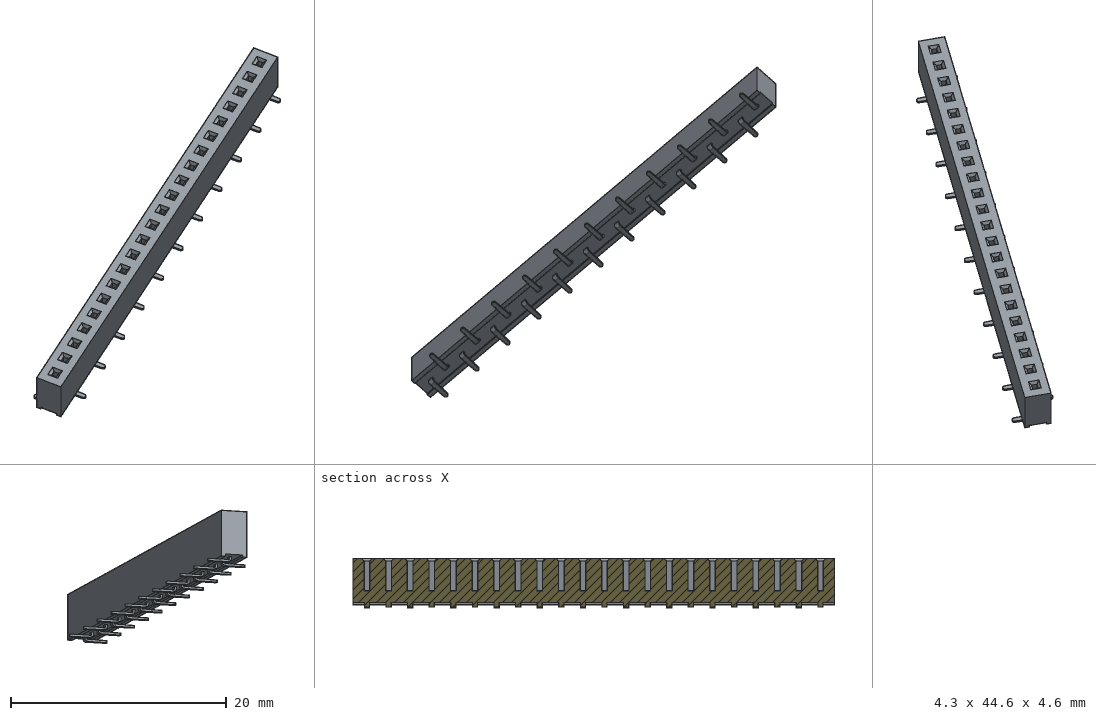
import cadquery as cq

pin_count = 22
pitch = 2.0
end_margin = 1.3

overall_height = 4.6
standoff = 0.3
body_width = 2.5
body_length = (pin_count - 1) * pitch + 2 * end_margin
body_height = overall_height - standoff
channel_width = 1.65
channel_depth = 0.2

throat_size = 0.5
funnel_depth = 0.25
mouth_size = throat_size + 2 * funnel_depth
hole_depth = 3.5
hole_floor = overall_height - hole_depth

tail_reach = 2.15
tail_thickness = 0.2
root_width = throat_size
tip_width = 0.41
nose_length = 0.19
bend_radius = 0.3
inner_radius = bend_radius - tail_thickness
stem_half = tail_thickness / 2
bend_end = bend_radius - stem_half
contact_rise = 0.5
stem_top = hole_floor + contact_rise

pin_positions = [(i - (pin_count - 1) / 2) * pitch for i in range(pin_count)]


def box_above(width, length, height, base):
    """Box centred on the Z axis, standing on the height `base`."""
    plane = cq.Workplane("XY", origin=(0, 0, base))
    return plane.box(width, length, height, centered=(True, True, False))


def make_housing():
    """Long block with a groove along its underside."""
    block = box_above(body_width, body_length, body_height, standoff)
    channel = box_above(channel_width, body_length, channel_depth, standoff)
    return block.cut(channel)


def make_socket():
    """Cutter for one socket opening in the top face."""
    funnel = (
        cq.Workplane("XY", origin=(0, 0, overall_height))
        .rect(mouth_size, mouth_size)
        .workplane(offset=-funnel_depth)
        .rect(throat_size, throat_size)
        .loft(ruled=True)
    )
    hole = box_above(throat_size, throat_size, hole_depth, hole_floor)
    return funnel.union(hole)


def make_tail():
    """Bent tail pointing to +X: its side profile trimmed to its plan outline."""
    profile = (
        cq.Workplane("XZ")
        .moveTo(-stem_half, stem_top)
        .lineTo(-stem_half, bend_radius)
        .radiusArc((bend_end, 0), -bend_radius)
        .lineTo(tail_reach, 0)
        .lineTo(tail_reach, tail_thickness)
        .lineTo(bend_end, tail_thickness)
        .radiusArc((stem_half, bend_radius), inner_radius)
        .lineTo(stem_half, stem_top)
        .close()
        .extrude(root_width / 2, both=True)
    )
    nose_start = tail_reach - nose_length
    plan = (
        cq.Workplane("XY")
        .moveTo(-stem_half, -root_width / 2)
        .lineTo(bend_end, -root_width / 2)
        .lineTo(nose_start, -tip_width / 2)
        .threePointArc((tail_reach, 0), (nose_start, tip_width / 2))
        .lineTo(bend_end, root_width / 2)
        .lineTo(-stem_half, root_width / 2)
        .close()
        .extrude(stem_top)
    )
    return profile.intersect(plan)


socket = make_socket()
tail_to_right = make_tail()
tail_to_left = tail_to_right.rotate((0, 0, 0), (0, 0, 1), 180)

result = make_housing()
for index, y_position in enumerate(pin_positions):
    tail = tail_to_left if index % 2 == 0 else tail_to_right
    result = result.cut(socket.translate((0, y_position, 0)))
    result = result.union(tail.translate((0, y_position, 0)))